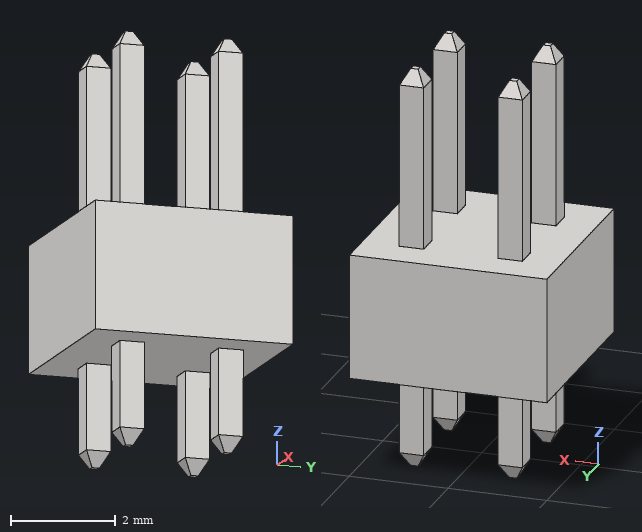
import cadquery as cq

TOTAL_HEIGHT = 8.15
HOUSING_WIDTH = 4.0
HOUSING_HEIGHT = 2.535

PIN_PITCH = 2.0
PIN_WIDTH = 0.5
LOWER_PIN_LENGTH = 2.005
UPPER_PIN_LENGTH = TOTAL_HEIGHT - HOUSING_HEIGHT - LOWER_PIN_LENGTH

TIP_HEIGHT = 0.3
TIP_FLAT_WIDTH = 0.155

PIN_OFFSETS = (-PIN_PITCH / 2, PIN_PITCH / 2)


def make_housing():
    """Plain block standing on the plane Z = 0, centred on the Z axis."""
    block = cq.Workplane("XY").rect(HOUSING_WIDTH, HOUSING_WIDTH).extrude(HOUSING_HEIGHT)
    return block.val()


def make_upright_pin(length):
    """Square pin rising from the origin, ending in a blunt pyramid tip."""
    shank_length = length - TIP_HEIGHT
    shank = cq.Workplane("XY").rect(PIN_WIDTH, PIN_WIDTH).extrude(shank_length)
    tip = (
        cq.Workplane("XY")
        .workplane(offset=shank_length)
        .rect(PIN_WIDTH, PIN_WIDTH)
        .workplane(offset=TIP_HEIGHT)
        .rect(TIP_FLAT_WIDTH, TIP_FLAT_WIDTH)
        .loft(ruled=True)
    )
    return shank.union(tip).solids()


def make_upper_pin(x, y):
    """Pin standing on the top face of the housing."""
    return make_upright_pin(UPPER_PIN_LENGTH).translate((x, y, HOUSING_HEIGHT)).val()


def make_lower_pin(x, y):
    """Shorter pin hanging from the bottom face of the housing."""
    return make_upright_pin(LOWER_PIN_LENGTH).mirror("XY").translate((x, y, 0)).val()


housing = make_housing()
upper_pins = []
lower_pins = []
for pin_x in PIN_OFFSETS:
    for pin_y in PIN_OFFSETS:
        upper_pins.append(make_upper_pin(pin_x, pin_y))
        lower_pins.append(make_lower_pin(pin_x, pin_y))

result = cq.Compound.makeCompound([
    housing,
    *upper_pins,
    *lower_pins,
])